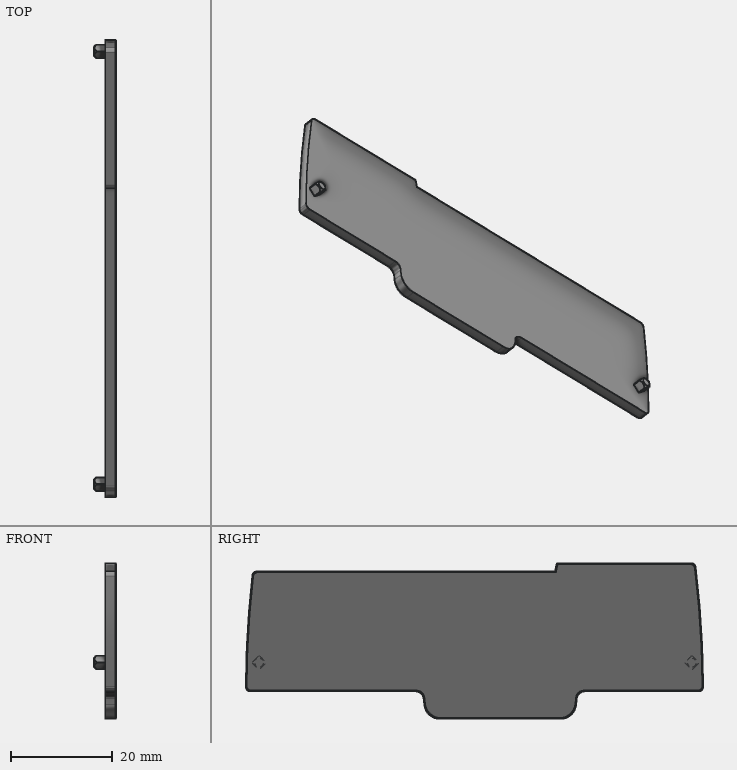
import math

import cadquery as cq

PLATE_THICKNESS = 2.2
PLATE_WIDTH = 89.87
HIGH_TOP_Z = 25.2
STEP_DROP = 1.6
STEP_TOP_Y = 16.15
STEP_WALL_ANGLE = 12.0
STEP_FILLET = 0.4
CORNER_RADIUS = 1.0
BACK_CHAMFER = 0.2

SIDE_RADIUS = 200.0

TAB_DEPTH = 5.4
TAB_CENTER_Y = 5.05
TAB_ROOT_WIDTH = 30.4
TAB_WALL_ANGLE = 6.0
TAB_TIP_RADIUS = 3.2
TAB_ROOT_RADIUS = 1.5

PEG_SPACING = 85.0
PEG_MIDDLE_Y = 0.15
PEG_Z = 5.7
PEG_LENGTH = 2.2
PEG_SIDE = 2.0
PEG_TURN = 45.0
PEG_DIAMETER = 2.7
PEG_TIP_CHAMFER = 0.5

SELECT_MARGIN = 0.01

HALF_WIDTH = PLATE_WIDTH / 2
LOW_TOP_Z = HIGH_TOP_Z - STEP_DROP


def side_y(z):
    """Distance from the plate middle to the bowed side at height z."""
    return HALF_WIDTH - SIDE_RADIUS + math.sqrt(SIDE_RADIUS**2 - z**2)


def fillet_at(body, y, z, radius):
    """Round the thickness-direction edge passing through (y, z)."""
    box = cq.selectors.BoxSelector(
        (-SELECT_MARGIN, y - SELECT_MARGIN, z - SELECT_MARGIN),
        (PLATE_THICKNESS + SELECT_MARGIN, y + SELECT_MARGIN, z + SELECT_MARGIN),
        boundingbox=True,
    )
    return body.edges(box).fillet(radius)


def make_plate():
    """Plate with a stepped top, bowed sides and a bottom tab, chamfered around its +X face."""
    tab_root_half = TAB_ROOT_WIDTH / 2
    tab_tip_half = tab_root_half - TAB_DEPTH * math.tan(math.radians(TAB_WALL_ANGLE))
    high_corner = (side_y(HIGH_TOP_Z), HIGH_TOP_Z)
    low_corner = (-side_y(LOW_TOP_Z), LOW_TOP_Z)
    high_side_z = HIGH_TOP_Z / 2
    low_side_z = LOW_TOP_Z / 2
    bottom_corners = [(side * HALF_WIDTH, 0) for side in (-1, 1)]
    tab_roots = [(TAB_CENTER_Y + side * tab_root_half, 0) for side in (-1, 1)]
    tab_tips = [(TAB_CENTER_Y + side * tab_tip_half, -TAB_DEPTH) for side in (-1, 1)]
    step_top = (STEP_TOP_Y, HIGH_TOP_Z)
    step_root = (STEP_TOP_Y - STEP_DROP * math.tan(math.radians(STEP_WALL_ANGLE)), LOW_TOP_Z)

    body = (
        cq.Workplane("YZ")
        .moveTo(*bottom_corners[0])
        .lineTo(*tab_roots[0])
        .lineTo(*tab_tips[0])
        .lineTo(*tab_tips[1])
        .lineTo(*tab_roots[1])
        .lineTo(*bottom_corners[1])
        .threePointArc((side_y(high_side_z), high_side_z), high_corner)
        .lineTo(*step_top)
        .lineTo(*step_root)
        .lineTo(*low_corner)
        .threePointArc((-side_y(low_side_z), low_side_z), bottom_corners[0])
        .close()
        .extrude(PLATE_THICKNESS)
    )
    for corner in [*bottom_corners, high_corner, low_corner]:
        body = fillet_at(body, *corner, CORNER_RADIUS)
    for corner in tab_roots:
        body = fillet_at(body, *corner, TAB_ROOT_RADIUS)
    for corner in tab_tips:
        body = fillet_at(body, *corner, TAB_TIP_RADIUS)
    body = fillet_at(body, *step_top, STEP_FILLET)
    return body.faces(">X").chamfer(BACK_CHAMFER)


def make_peg(y):
    """Diamond-set square post with its tip corners turned down, standing at (y, PEG_Z)."""
    base = cq.Workplane("YZ").center(y, PEG_Z)
    post = base.rect(PEG_SIDE, PEG_SIDE).extrude(-PEG_LENGTH)
    post = post.rotate((0, y, PEG_Z), (1, y, PEG_Z), PEG_TURN)
    turned = base.circle(PEG_DIAMETER / 2).extrude(-PEG_LENGTH)
    turned = turned.faces("<X").chamfer(PEG_TIP_CHAMFER)
    return post.intersect(turned)


result = make_plate()
for peg_side in (-1, 1):
    result = result.union(make_peg(PEG_MIDDLE_Y + peg_side * PEG_SPACING / 2))